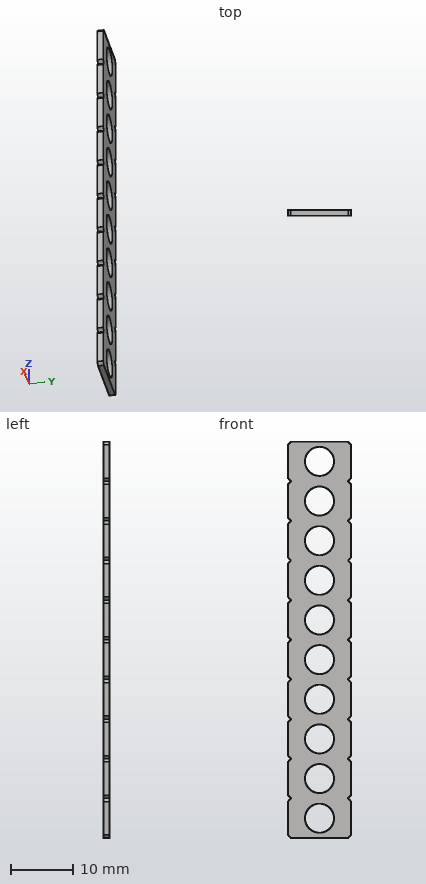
import cadquery as cq

cell_count = 10
pitch = 6.35
width = 10.16
thickness = 0.97
hole_diameter = 4.62
corner_chamfer = 0.508


def cell_center_z(index):
    """Height of a cell center, with the whole strip centered on the origin."""
    return (index - (cell_count - 1) / 2) * pitch


def back_face_plane():
    """Sketch plane on the +Y face; extruding from it runs toward -Y."""
    return cq.Workplane("XZ", origin=(0, thickness / 2, 0))


def make_cell(index):
    """One rectangular cell with its four corners cut at 45 degrees."""
    return (
        back_face_plane()
        .center(0, cell_center_z(index))
        .rect(width, pitch)
        .extrude(thickness)
        .edges("|Y")
        .chamfer(corner_chamfer)
    )


def make_strip():
    """Cells joined end to end; their cut corners form the V notches along both sides."""
    strip = make_cell(0)
    for index in range(1, cell_count):
        strip = strip.union(make_cell(index))
    return strip.clean()


def cut_holes(strip):
    """One through hole at the center of every cell."""
    centers = [(0, cell_center_z(index)) for index in range(cell_count)]
    hole_cores = (
        back_face_plane()
        .pushPoints(centers)
        .circle(hole_diameter / 2)
        .extrude(thickness)
    )
    return strip.cut(hole_cores)


result = cut_holes(make_strip())